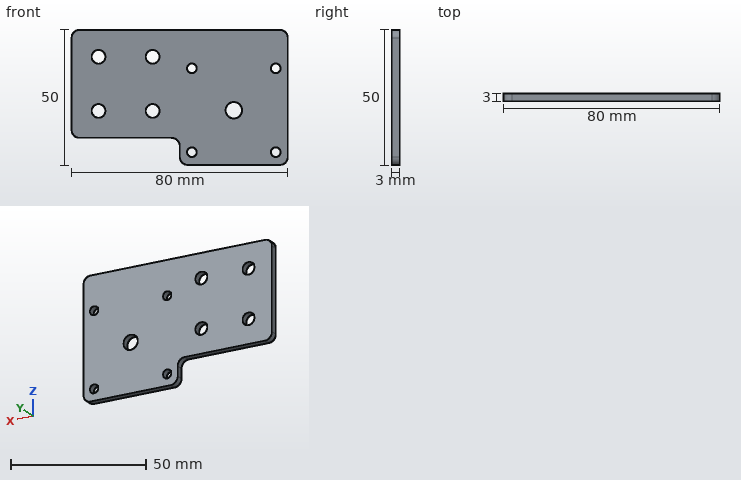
import cadquery as cq

plate_length = 80.0
plate_height = 50.0
plate_thickness = 3.0
corner_radius = 3.0
notch_length = 40.0
notch_height = 10.0

mount_hole_diameter = 5.0
mount_hole_spacing = 20.0
mount_edge_distance = 10.0
mount_center_x = mount_edge_distance + mount_hole_spacing / 2
mount_center_z = plate_height - mount_edge_distance - mount_hole_spacing / 2

shaft_hole_diameter = 6.0
screw_hole_diameter = 3.5
screw_hole_spacing = 31.0
shaft_center_x = (notch_length + plate_length) / 2
shaft_center_z = 20.25


def make_plate():
    """L-shaped plate with every corner rounded, the inner one included."""
    outline = [
        (0, notch_height),
        (notch_length, notch_height),
        (notch_length, 0),
        (plate_length, 0),
        (plate_length, plate_height),
        (0, plate_height),
    ]
    plate = cq.Workplane("XZ").polyline(outline).close().extrude(-plate_thickness)
    return plate.edges("|Y").fillet(corner_radius)


def hole_cutter(centers, diameter):
    """Cylinders along Y through the full plate thickness."""
    return cq.Workplane("XZ").pushPoints(centers).circle(diameter / 2).extrude(-plate_thickness)


def square_pattern(center_x, center_z, spacing):
    """Corners of a square with the given side, centered on the given point."""
    half = spacing / 2
    return [(center_x + dx, center_z + dz) for dx in (-half, half) for dz in (-half, half)]


mount_holes = square_pattern(mount_center_x, mount_center_z, mount_hole_spacing)
screw_holes = square_pattern(shaft_center_x, shaft_center_z, screw_hole_spacing)
shaft_hole = [(shaft_center_x, shaft_center_z)]

result = (
    make_plate()
    .cut(hole_cutter(mount_holes, mount_hole_diameter))
    .cut(hole_cutter(screw_holes, screw_hole_diameter))
    .cut(hole_cutter(shaft_hole, shaft_hole_diameter))
)